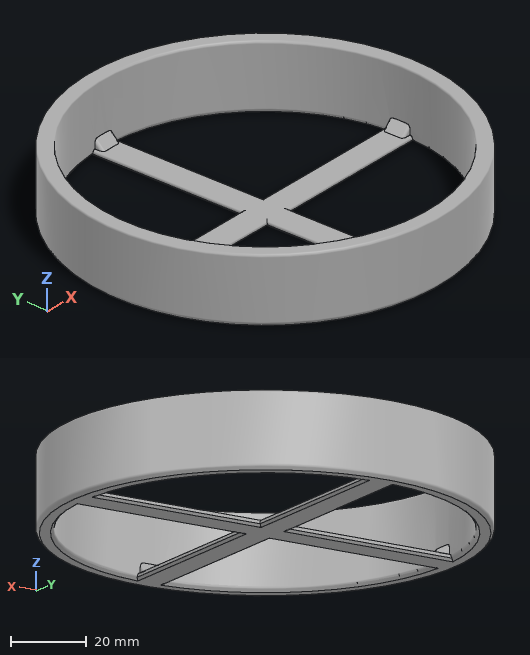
import cadquery as cq
import math

outer_diameter = 121.5
inner_diameter = 111.5
height = 22.0
rim_rounding = 1.0

bottom_chamfer = 0.7
chamfer_angle = 45

spoke_width = 8.7
spoke_thickness = 2.0
spoke_rounding = 0.9

gusset_leg = 3.0
gusset_rounding = 1.0
gusset_width = spoke_width - 2 * spoke_rounding

outer_radius = outer_diameter / 2
inner_radius = inner_diameter / 2
mid_wall_radius = (outer_radius + inner_radius) / 2


def blend_point(angle):
    """Inset from the wall face and height of a point on the lower rim's blend arc."""
    arc_center_height = bottom_chamfer + rim_rounding * math.sin(math.radians(chamfer_angle))
    inset = rim_rounding * (1 - math.cos(math.radians(angle)))
    return inset, arc_center_height - rim_rounding * math.sin(math.radians(angle))


def make_ring():
    """Round wall: rounded upper rims, chamfered and blended lower rims."""
    _, arc_top = blend_point(0)
    mid_inset, mid_height = blend_point(chamfer_angle / 2)
    low_inset, low_height = blend_point(chamfer_angle)
    foot_inset = low_inset + bottom_chamfer
    wall = (
        cq.Workplane("XZ")
        .moveTo(inner_radius + foot_inset, 0)
        .lineTo(outer_radius - foot_inset, 0)
        .lineTo(outer_radius - low_inset, low_height)
        .threePointArc((outer_radius - mid_inset, mid_height), (outer_radius, arc_top))
        .lineTo(outer_radius, height)
        .lineTo(inner_radius, height)
        .lineTo(inner_radius, arc_top)
        .threePointArc((inner_radius + mid_inset, mid_height), (inner_radius + low_inset, low_height))
        .close()
        .revolve(360, (0, 0, 0), (0, 1, 0))
    )
    return wall.faces(">Z").edges().fillet(rim_rounding)


def make_cross():
    """Two crossing bars, rounded above and chamfered below, ending inside the wall."""
    bar_length = 2 * mid_wall_radius
    bar = cq.Workplane("XY").rect(bar_length, spoke_width).extrude(spoke_thickness)
    crossbar = cq.Workplane("XY").rect(spoke_width, bar_length).extrude(spoke_thickness)
    cross = bar.union(crossbar)
    cross = cross.faces(">Z").edges().fillet(spoke_rounding)
    return cross.faces("<Z").edges().chamfer(bottom_chamfer)


def make_gusset(angle):
    """45 degree ramp from a spoke up to the wall, with rounded side edges."""
    toe_radius = inner_radius - gusset_leg
    run = mid_wall_radius - toe_radius
    ramp = (
        cq.Workplane("XZ")
        .moveTo(toe_radius, spoke_thickness)
        .lineTo(mid_wall_radius, spoke_thickness)
        .lineTo(mid_wall_radius, spoke_thickness + run)
        .close()
        .extrude(gusset_width / 2, both=True)
    )
    ramp = ramp.edges("not(|X or |Y or |Z)").fillet(gusset_rounding)
    return ramp.rotate((0, 0, 0), (0, 0, 1), angle)


result = make_ring().union(make_cross())
for spoke_angle in (0, 90, 180, 270):
    result = result.union(make_gusset(spoke_angle))